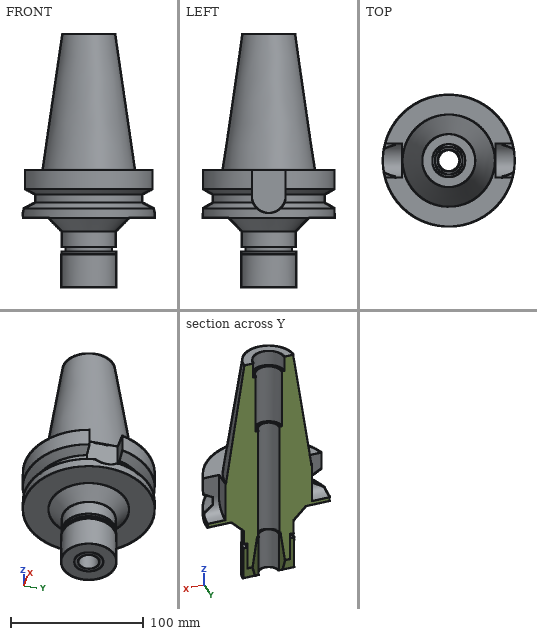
import cadquery as cq
import math

overlap = 1.0

gauge_radius = 69.85 / 2
taper_length = 101.8
taper_ratio = 7 / 24
taper_tip_radius = gauge_radius - taper_length * taper_ratio / 2

flange_radius = 50.0
flange_top_z = -1.0
flange_bottom_z = -37.5
groove_root_radius = 42.5
groove_center_z = -22.85
groove_root_width = 6.0
groove_slope = math.radians(30)
groove_flare = (flange_radius - groove_root_radius) * math.tan(groove_slope)
groove_root_top_z = groove_center_z + groove_root_width / 2
groove_root_bottom_z = groove_center_z - groove_root_width / 2

slot_width = 25.7
slot_floor_x = 35.4
slot_bottom_z = -33.7

neck_radius = 20.5
neck_cone_radius = 30.5
neck_top_z = -47.7
neck_bottom_z = -59.5
nose_radius = 17.65
nose_end_z = -82.0

pilot_radius = 12.5
pilot_depth = 12.7
drawbar_radius = 10.5
drawbar_depth = 62.0
through_radius = 8.4

nut_radius = 21.0
nut_collar_radius = 20.85
nut_collar_length = 2.0
nut_edge_chamfer = nut_radius - nut_collar_radius
nut_top_z = -62.8
face_z = -90.0

collet_bore_radius = 8.0
collet_max_radius = 13.0
collet_face_radius = 11.0
collet_back_z = -56.0
collet_half_angle = math.radians(8)
collet_back_radius = collet_max_radius - (collet_back_z - nose_end_z) * math.tan(collet_half_angle)


def revolve_profile(points):
    """Revolve a closed (radius, z) outline about the Z axis."""
    return cq.Workplane("XZ").polyline(points).close().revolve(360, (0, 0, 0), (0, 1, 0))


def cylinder(radius, bottom_z, top_z):
    return cq.Workplane("XY").workplane(offset=bottom_z).circle(radius).extrude(top_z - bottom_z)


def make_drive_slot(side):
    """Round-ended cutter for one drive slot; side is +1 or -1 along X."""
    arc_center_z = slot_bottom_z + slot_width / 2
    return (
        cq.Workplane("YZ")
        .workplane(offset=side * slot_floor_x)
        .moveTo(-slot_width / 2, flange_top_z + overlap)
        .lineTo(-slot_width / 2, arc_center_z)
        .threePointArc((0, slot_bottom_z), (slot_width / 2, arc_center_z))
        .lineTo(slot_width / 2, flange_top_z + overlap)
        .close()
        .extrude(side * (flange_radius - slot_floor_x + overlap))
    )


def make_collet_blank():
    """Outer shape of the collet: a long rear taper and a short front cone."""
    return revolve_profile([
        (0, collet_back_z),
        (collet_back_radius, collet_back_z),
        (collet_max_radius, nose_end_z),
        (collet_face_radius, face_z),
        (0, face_z),
    ])


def make_holder():
    holder = revolve_profile([
        (0, taper_length),
        (taper_tip_radius, taper_length),
        (gauge_radius, 0),
        (gauge_radius, flange_top_z),
        (flange_radius, flange_top_z),
        (flange_radius, groove_root_top_z + groove_flare),
        (groove_root_radius, groove_root_top_z),
        (groove_root_radius, groove_root_bottom_z),
        (flange_radius, groove_root_bottom_z - groove_flare),
        (flange_radius, flange_bottom_z),
        (neck_cone_radius, flange_bottom_z),
        (neck_radius, neck_top_z),
        (neck_radius, neck_bottom_z),
        (nose_radius, neck_bottom_z),
        (nose_radius, nose_end_z),
        (0, nose_end_z),
    ])
    for side in (-1, 1):
        holder = holder.cut(make_drive_slot(side))
    bore_top_z = taper_length + overlap
    holder = holder.cut(cylinder(pilot_radius, taper_length - pilot_depth, bore_top_z))
    holder = holder.cut(cylinder(drawbar_radius, taper_length - drawbar_depth, bore_top_z))
    holder = holder.cut(cylinder(through_radius, nose_end_z - overlap, bore_top_z))
    return holder.cut(make_collet_blank())


def make_nut():
    collar_bottom_z = nut_top_z - nut_collar_length
    nut = revolve_profile([
        (0, nut_top_z),
        (nut_collar_radius, nut_top_z),
        (nut_collar_radius, collar_bottom_z),
        (nut_radius, collar_bottom_z - nut_edge_chamfer),
        (nut_radius, face_z),
        (0, face_z),
    ])
    nut = nut.cut(cylinder(nose_radius, nose_end_z, nut_top_z + overlap))
    return nut.cut(make_collet_blank())


def make_collet():
    return make_collet_blank().cut(
        cylinder(collet_bore_radius, face_z - overlap, collet_back_z + overlap)
    )


holder = make_holder()
nut = make_nut()
collet = make_collet()

result = cq.Compound.makeCompound([holder.solids().val(), nut.solids().val(), collet.solids().val()])